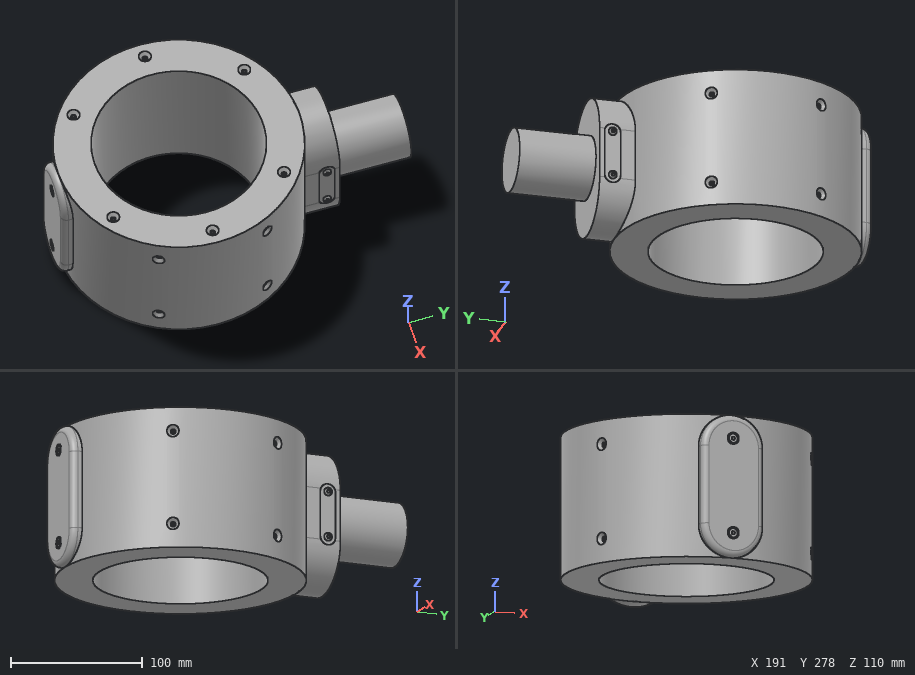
import cadquery as cq
import math

height = 110.0
ring_radius = 191.0 / 2
bore_radius = 66.5
mid_height = height / 2

neck_width = 70.0
neck_end = 117.0
pipe_diameter = 50.0
pipe_length = 60.0

plate_width = 50.0
plate_face = -101.0
plate_edge_radius = 5.0

sink_radius = 4.7
sink_depth = 2.8
seat_radius = 2.0
pilot_radius = 1.0
pilot_depth = 5.5
rim_hole_circle_radius = 84.0
hole_angle_step = 54
screw_row_offset = 36.5

groove_outer_radius = 4.5
groove_inner_radius = 3.5
groove_depth = 0.8

label_width = 12.5
label_length = 47.8
label_depth = 0.3
label_y = 106.8
label_screw_offset = 17.8
label_head_radius = 3.0
label_head_height = 1.7
label_head_rounding = 1.0

socket_width = 2.8
socket_depth = 1.0


def make_sink_cutter():
    """Cutter along +Z for a stepped blind hole that opens at Z = 0."""
    mouth_radius = 2 * sink_radius - seat_radius
    cone = [(0, -sink_depth), (mouth_radius, -sink_depth), (seat_radius, sink_depth)]
    pilot = [(pilot_radius, sink_depth), (pilot_radius, pilot_depth), (0, pilot_depth)]
    return cq.Workplane("XZ").polyline(cone + pilot).close().revolve(360, (0, 0, 0), (0, 1, 0))


def make_ring():
    return cq.Workplane("XY").circle(ring_radius).extrude(height)


def make_neck_and_pipe():
    axis_plane = cq.Workplane("XZ", origin=(0, 0, mid_height))
    neck = axis_plane.slot2D(height, neck_width, 90).extrude(-neck_end)
    pipe = axis_plane.circle(pipe_diameter / 2).extrude(-(neck_end + pipe_length))
    return neck.union(pipe)


def make_cover_plate():
    plate = (
        cq.Workplane("XZ", origin=(0, 0, mid_height))
        .slot2D(height, plate_width, 90)
        .extrude(-plate_face)
    )
    return plate.faces("<Y").edges().fillet(plate_edge_radius)


def cut_sunk_hole(body, point, inward):
    plane = cq.Plane(origin=point, normal=inward)
    return body.cut(cq.Workplane(make_sink_cutter().val().moved(cq.Location(plane))))


def cut_rim_holes(body):
    for base_angle in (0, hole_angle_step, -hole_angle_step):
        for angle in (base_angle, base_angle + 180):
            x = rim_hole_circle_radius * math.cos(math.radians(angle))
            y = rim_hole_circle_radius * math.sin(math.radians(angle))
            body = cut_sunk_hole(body, (x, y, height), (0, 0, -1))
    return body


def cut_wall_holes(body):
    wall_angle = hole_angle_step / 2
    for z in (mid_height - screw_row_offset, mid_height + screw_row_offset):
        for angle in (wall_angle, -wall_angle, 180 + wall_angle, 180 - wall_angle):
            x = math.cos(math.radians(angle))
            y = math.sin(math.radians(angle))
            body = cut_sunk_hole(body, (ring_radius * x, ring_radius * y, z), (-x, -y, 0))
    return body


def cut_cover_screws(body):
    face = cq.Workplane("XZ", origin=(0, plate_face, mid_height)).pushPoints(
        [(0, -screw_row_offset), (0, screw_row_offset)]
    )
    grooves = face.circle(groove_outer_radius).circle(groove_inner_radius).extrude(-groove_depth)
    sockets = face.polygon(6, socket_width).extrude(-socket_depth)
    return body.cut(grooves).cut(sockets)


def add_name_plate(body, side):
    """Recess one label on the +X (side = 1) or -X (side = -1) flat of the neck, with two screws."""
    face = cq.Workplane(
        cq.Plane(origin=(side * neck_width / 2, label_y, mid_height), xDir=(0, side, 0), normal=(side, 0, 0))
    )
    screw_points = [(0, -label_screw_offset), (0, label_screw_offset)]
    recess = face.slot2D(label_length, label_width, 90).extrude(-label_depth)
    heads = (
        face.workplane(offset=-label_depth)
        .pushPoints(screw_points)
        .circle(label_head_radius)
        .extrude(label_head_height + label_depth)
        .faces(">X" if side > 0 else "<X")
        .edges()
        .fillet(label_head_rounding)
    )
    sockets = (
        face.workplane(offset=label_head_height)
        .pushPoints(screw_points)
        .polygon(6, socket_width)
        .extrude(-socket_depth)
    )
    return body.cut(recess).union(heads).cut(sockets)


bore = cq.Workplane("XY").circle(bore_radius).extrude(height)
body = make_ring().union(make_neck_and_pipe()).union(make_cover_plate()).cut(bore)
body = cut_rim_holes(body)
body = cut_wall_holes(body)
body = cut_cover_screws(body)
for side in (-1, 1):
    body = add_name_plate(body, side)
result = body